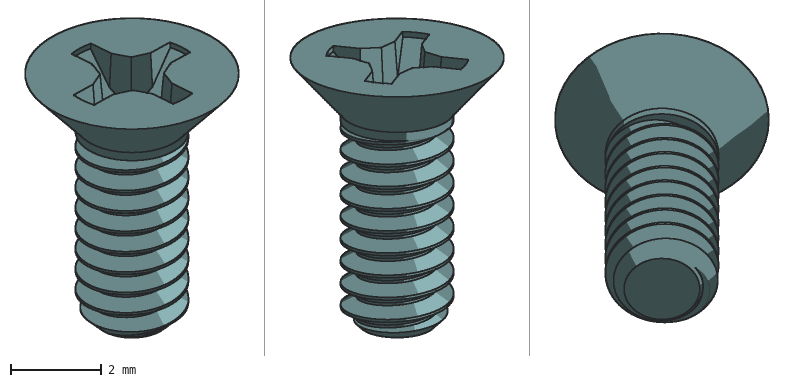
import cadquery as cq
import math

INCH = 25.4
LENGTH = INCH / 4
HEAD_DIAMETER = 4.75
HEAD_CONE_ANGLE = 82.0
COLLAR_HEIGHT = 0.21

MAJOR_DIAMETER = 0.099 * INCH
PITCH = INCH / 48
FLANK_ANGLE = 30.0
FLAT_WIDTH = PITCH / 8
TIP_DIAMETER = 1.68
GROOVE_PHASE = 0.02
GROOVE_START_ANGLE = -90.0
CUTTER_OVERHANG = 0.02

RECESS_RADIUS = 1.58
RECESS_RIM_DEPTH = 0.13
RECESS_FLOOR_SLOPE = 1.14
WING_COUNT = 4
WING_HALF_WIDTH = 0.31
WING_ROOT_RADIUS = 0.93
CORNER_OFFSET = 0.5
WALL_DRAFT_ANGLE = 4.5
WING_OVERHANG = 0.5

HEAD_RADIUS = HEAD_DIAMETER / 2
MAJOR_RADIUS = MAJOR_DIAMETER / 2
TIP_RADIUS = TIP_DIAMETER / 2
FLANK_SLOPE = math.tan(math.radians(FLANK_ANGLE))
THREAD_DEPTH = (PITCH - 2 * FLAT_WIDTH) / (2 * FLANK_SLOPE)
MINOR_RADIUS = MAJOR_RADIUS - THREAD_DEPTH
HEAD_HEIGHT = (HEAD_RADIUS - MAJOR_RADIUS) / math.tan(math.radians(HEAD_CONE_ANGLE / 2))
HEAD_BASE_Z = LENGTH - HEAD_HEIGHT
COLLAR_BASE_Z = HEAD_BASE_Z - COLLAR_HEIGHT
RECESS_DEPTH = RECESS_RIM_DEPTH + RECESS_RADIUS * RECESS_FLOOR_SLOPE


def revolve_about_z(points):
    """Turn a (radius, height) outline about Z, starting on the -Y side."""
    outline = cq.Workplane("YZ").polyline([(-radius, height) for radius, height in points]).close()
    return outline.revolve(360, (0, 0), (0, 1))


def make_head():
    """Countersunk cone standing on a short plain collar."""
    return revolve_about_z([
        (0, COLLAR_BASE_Z),
        (MAJOR_RADIUS, COLLAR_BASE_Z),
        (MAJOR_RADIUS, HEAD_BASE_Z),
        (HEAD_RADIUS, LENGTH),
        (0, LENGTH),
    ])


def make_shank_blank():
    """Unthreaded shank with a 45 degree chamfer at its tip."""
    return revolve_about_z([
        (0, 0),
        (TIP_RADIUS, 0),
        (MAJOR_RADIUS, MAJOR_RADIUS - TIP_RADIUS),
        (MAJOR_RADIUS, COLLAR_BASE_Z),
        (0, COLLAR_BASE_Z),
    ])


def helical_strip(lower_corner, upper_corner, height):
    """Ruled face between the helices that start at two (radius, height) corners."""
    helices = []
    for radius, start_z in (lower_corner, upper_corner):
        helix = cq.Wire.makeHelix(PITCH, height, radius)
        helices.append(helix.translate(cq.Vector(0, 0, start_z)))
    return cq.Face.makeRuledSurface(*helices)


def groove_end(corners, z):
    """Flat face closing the groove cutter in the XZ plane."""
    points = [cq.Vector(radius, 0, height + z) for radius, height in corners]
    return cq.Face.makeFromWires(cq.Wire.makePolygon(points, close=True))


def make_thread_groove():
    """Right-handed helical groove cutter that runs out past both ends of the shank."""
    turns = math.ceil(COLLAR_BASE_Z / PITCH) + 2
    height = turns * PITCH
    outer_radius = MAJOR_RADIUS + CUTTER_OVERHANG
    root_half = FLAT_WIDTH / 2
    mouth_half = root_half + (outer_radius - MINOR_RADIUS) * FLANK_SLOPE
    corners = [
        (MINOR_RADIUS, -root_half),
        (outer_radius, -mouth_half),
        (outer_radius, mouth_half),
        (MINOR_RADIUS, root_half),
    ]
    next_corners = corners[1:] + corners[:1]
    faces = [helical_strip(start, end, height) for start, end in zip(corners, next_corners)]
    faces += [groove_end(corners, 0), groove_end(corners, height)]
    groove = cq.Workplane(cq.Solid.makeSolid(cq.Shell.makeShell(faces)).fix())
    return groove.rotate((0, 0, 0), (0, 0, 1), GROOVE_START_ANGLE).translate((0, 0, GROOVE_PHASE - PITCH))


def cross_outline(inset):
    """Corner points of the recess cross with every wall moved inward by the inset."""
    diagonal_angle = math.atan2(CORNER_OFFSET - WING_HALF_WIDTH, WING_ROOT_RADIUS - CORNER_OFFSET)
    normal_x = math.sin(diagonal_angle)
    normal_y = math.cos(diagonal_angle)
    half_width = WING_HALF_WIDTH - inset
    root_radius = WING_ROOT_RADIUS - inset * (1 - normal_y) / normal_x
    corner = CORNER_OFFSET - inset / (normal_x + normal_y)
    wing_end = RECESS_RADIUS + WING_OVERHANG
    wing = [
        (wing_end, -half_width),
        (wing_end, half_width),
        (root_radius, half_width),
        (corner, corner),
        (half_width, root_radius),
    ]
    outline = []
    for _ in range(WING_COUNT):
        outline += wing
        wing = [(-y, x) for x, y in wing]
    return outline


def make_recess():
    """Cross with drafted walls, bounded by a round rim and a conical floor."""
    floor_inset = RECESS_DEPTH * math.tan(math.radians(WALL_DRAFT_ANGLE))
    cross = (
        cq.Workplane("XY", origin=(0, 0, LENGTH))
        .polyline(cross_outline(0))
        .close()
        .workplane(offset=-RECESS_DEPTH)
        .polyline(cross_outline(floor_inset))
        .close()
        .loft(ruled=True)
    )
    envelope = revolve_about_z([
        (0, LENGTH),
        (RECESS_RADIUS, LENGTH),
        (RECESS_RADIUS, LENGTH - RECESS_RIM_DEPTH),
        (0, LENGTH - RECESS_DEPTH),
    ])
    return cross.intersect(envelope)


shank = make_shank_blank().cut(make_thread_groove(), clean=False)
result = make_head().union(shank, clean=False).cut(make_recess(), clean=False)